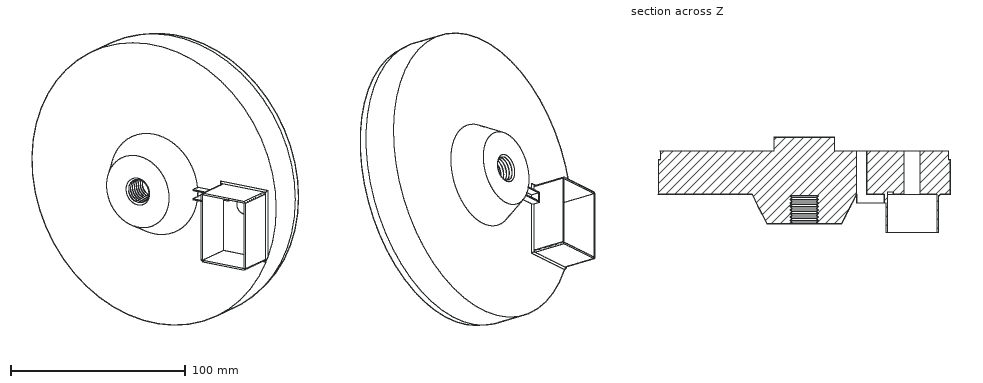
import cadquery as cq

disk_radius = 84.0
disk_thickness = 20.0
lid_radius = 83.0
lid_thickness = 5.0
rear_boss_radius = 17.5
rear_boss_height = 7.9

hub_base_radius = 30.0
hub_tip_radius = 21.5
hub_height = 17.0
thread_minor_radius = 6.9
thread_major_radius = 8.0
thread_pitch = 2.0
thread_turns = 8

box_left, box_right = 46.9, 77.3
box_bottom, box_top = -32.6, 8.9
box_depth = 22.0
box_wall = 1.0
box_corner_chamfer = 1.0
foot_size = 1.0
foot_taper = 45
box_hole_radius = 5.0
box_hole_x, box_hole_z = 62.0, -2.2

channel_bottom, channel_top = -2.2, 2.7
channel_wall = 0.7
channel_height = 5.0
channel_end_thickness = 1.0
slot_end = 35.8

groove_end = 51.0
groove_radius = 1.3


def block(x_min, x_max, y_min, y_max, z_min, z_max):
    """Box given by its limits along each axis."""
    size = (x_max - x_min, y_max - y_min, z_max - z_min)
    return cq.Workplane("XY").box(*size, centered=False).translate((x_min, y_min, z_min))


def disk_and_hub():
    """Body, lid, rear boss and conical hub turned from one half profile."""
    lid_back = disk_thickness + lid_thickness
    boss_back = lid_back + rear_boss_height
    return (
        cq.Workplane("XY")
        .moveTo(0, -hub_height)
        .lineTo(hub_tip_radius, -hub_height)
        .lineTo(hub_base_radius, 0)
        .lineTo(disk_radius, 0)
        .lineTo(disk_radius, disk_thickness)
        .lineTo(lid_radius, disk_thickness)
        .lineTo(lid_radius, lid_back)
        .lineTo(rear_boss_radius, lid_back)
        .lineTo(rear_boss_radius, boss_back)
        .lineTo(0, boss_back)
        .close()
        .revolve(360, (0, 0, 0), (0, 1, 0))
    )


def threaded_hole():
    """Blind hole whose thread is modelled as a stack of V-shaped ring grooves."""
    profile = cq.Workplane("XY").moveTo(0, -hub_height).lineTo(thread_major_radius, -hub_height)
    for turn in range(thread_turns):
        start = -hub_height + turn * thread_pitch
        profile = profile.lineTo(thread_minor_radius, start + thread_pitch / 2)
        profile = profile.lineTo(thread_major_radius, start + thread_pitch)
    bottom = -hub_height + thread_turns * thread_pitch
    return profile.lineTo(0, bottom).close().revolve(360, (0, 0, 0), (0, 1, 0))


def box_shell():
    """Box and bevelled foot; the foot is trimmed to the rim of the disk."""
    shell = block(box_left, box_right, -box_depth, 0, box_bottom, box_top)
    shell = shell.edges("|Y").chamfer(box_corner_chamfer)
    foot_length = box_right - box_left + 2 * foot_size
    foot_height = box_top - box_bottom + 2 * foot_size
    foot = (
        cq.Workplane("XZ")
        .center((box_left + box_right) / 2, (box_bottom + box_top) / 2)
        .rect(foot_length, foot_height)
        .extrude(foot_size, taper=foot_taper)
    )
    rim = cq.Workplane("XZ").circle(disk_radius).extrude(foot_size)
    return shell.union(foot.intersect(rim))


def box_cavity():
    """Inside of the box, open at the front and reaching the disk face."""
    return block(
        box_left + box_wall, box_right - box_wall, -box_depth, 0,
        box_bottom + box_wall, box_top - box_wall,
    )


def channel_walls():
    """Two parallel walls joining the hub to the box, closed by a plate at the box."""
    lower = block(
        hub_base_radius, box_left, -channel_height, 0, channel_bottom - channel_wall, channel_bottom
    )
    upper = block(
        hub_base_radius, box_left, -channel_height, 0, channel_top, channel_top + channel_wall
    )
    end_plate = block(
        box_left - channel_end_thickness, box_left, -channel_height, 0, channel_bottom, channel_top
    )
    return lower.union(upper).union(end_plate)


def cable_slot():
    """Rectangular passage through the disk between the channel walls."""
    back = disk_thickness + lid_thickness
    return block(hub_base_radius, slot_end, 0, back, channel_bottom, channel_top)


def box_hole():
    """Round hole through the disk inside the box."""
    back = disk_thickness + lid_thickness
    return (
        cq.Workplane("XZ")
        .center(box_hole_x, box_hole_z)
        .circle(box_hole_radius)
        .extrude(-back)
    )


def floor_groove():
    """Half-round groove along X, sunk in the disk face beside the left wall of the box."""
    start = box_left + box_wall
    return (
        cq.Workplane("YZ", origin=(start, 0, 0))
        .circle(groove_radius)
        .extrude(groove_end - start)
    )


result = disk_and_hub().union(box_shell()).union(channel_walls())
for cutter in (threaded_hole(), box_cavity(), cable_slot(), box_hole(), floor_groove()):
    result = result.cut(cutter)